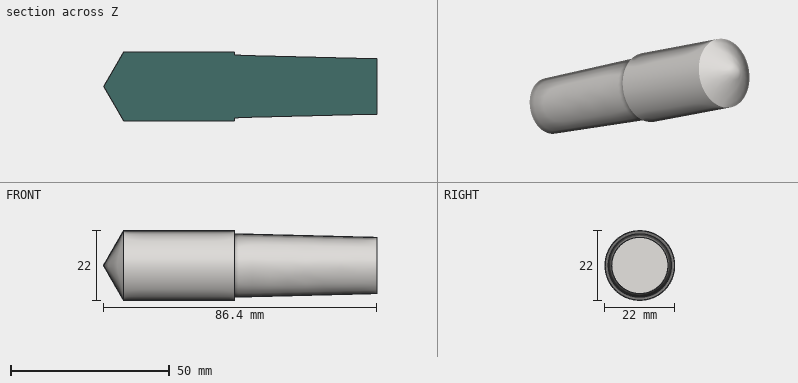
import cadquery as cq
import math

body_diameter = 22.0
body_length = 35.0
point_angle = 120.0
shank_length = 45.0
shank_root_diameter = 20.0
shank_taper = 1.0 / 20.0

body_radius = body_diameter / 2
shank_root_radius = shank_root_diameter / 2
shank_end_radius = shank_root_radius - shank_taper * shank_length / 2
point_length = body_radius / math.tan(math.radians(point_angle / 2))

tip_x = -point_length
shoulder_x = body_length
end_x = shoulder_x + shank_length


def make_pin():
    """Revolve the half profile: conical point, cylindrical body, tapered shank."""
    half_profile = (
        cq.Workplane("XZ")
        .moveTo(tip_x, 0)
        .lineTo(0, body_radius)
        .lineTo(shoulder_x, body_radius)
        .lineTo(shoulder_x, shank_root_radius)
        .lineTo(end_x, shank_end_radius)
        .lineTo(end_x, 0)
        .close()
    )
    return half_profile.revolve(360, (0, 0, 0), (1, 0, 0))


result = make_pin()